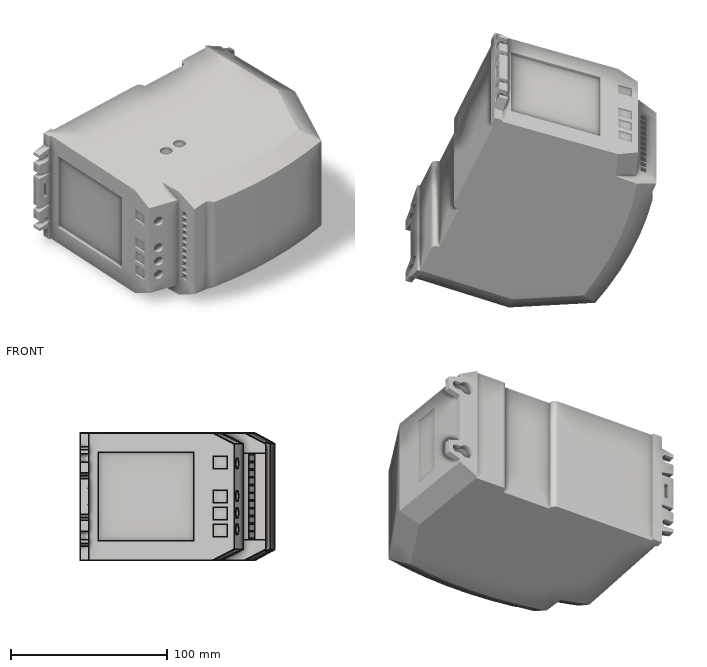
import cadquery as cq
import math

LENGTH = 170.0
DEPTH = 124.8
WIDTH = 81.6
HALF_LENGTH = LENGTH / 2
HALF_WIDTH = WIDTH / 2
MARGIN = 34.0

BEVEL_HEIGHT = 7.1
BEVEL_INSET = 13.3
BEVEL_ANGLE = math.degrees(math.atan2(BEVEL_INSET, BEVEL_HEIGHT))

BACK_X = 1.7
BOTTOM_Y = -75.0
UPPER_CORNER = (4.6, 76.7)
PEAK_CORNER = (68.4, 79.1)
CAP_CORNER_Y = 55.8
CAP_RADIUS = 255.1

STEP_OUTER = (118.9, -54.3)
STEP_INNER = (90.7, -56.6)
WEDGE_TOP = (104.5, -55.1)
WEDGE_FOOT = (98.6, BOTTOM_Y)
NOTCH_TOP = (121.8, -39.6)
NOTCH_FOOT = (STEP_OUTER[0], -43.7)

GROOVE_X = 6.1
GROOVE_TOP = 40.0
GROOVE_BOTTOM = 5.3
GROOVE_TOP_RADIUS = 3.2
GROOVE_BOTTOM_RADIUS = 3.9

UPPER_THICKNESS = 4.3
UPPER_ROOT_Y = 63.6
UPPER_EDGE_Y = 76.5
UPPER_EDGE_HALF = 34.0
LUG_Z = 24.5
LUG_ROOT_HALF = 7.1
LUG_TIP_HALF = 4.5
KEYHOLE_Y = 72.0
KEYHOLE_RADIUS = 4.6
KEYSLOT_END_Y = 79.5
KEYSLOT_RADIUS = 2.7

LOWER_THICKNESS = 5.5
LOWER_ROOT_Y = -69.5
LOWER_EDGE_Y = -76.4
FORK_Z = 24.8
FORK_SLOT_RADIUS = 2.7
FORK_SLOT_END_Y = -76.7
FORK_ROOT = (13.5, 31.8)
FORK_TIP = (15.1, 30.0)
LATCH_HALF = 11.4
LATCH_WINDOW_Y = -79.6
LATCH_WINDOW_LENGTH = 3.0
LATCH_WINDOW_WIDTH = 10.7

PANEL_X = (28.9, 47.6)
PANEL_HALF_WIDTH = 23.8
PANEL_DEPTH = 0.5

DISPLAY_X = (11.5, 72.8)
DISPLAY_HALF_WIDTH = 28.2
DISPLAY_DEPTH = 2.2
BUTTON_X = (85.2, 94.2)
BUTTON_WIDTH = 8.0
BUTTON_DEPTH = 1.0
BUTTON_Z = (21.8, 0.0, -10.9, -21.8)

INDICATOR_X = 100.5
INDICATOR_RADIUS = 3.4
INDICATOR_DEPTH = 3.4
INDICATOR_Z = (21.3, 0.3, -10.4, -21.0)

STRIP_HALF_WIDTH = 27.7
STRIP_DEPTH = 0.2
TERMINAL_COUNT = 11
TERMINAL_PITCH = 5.0
TERMINAL_SIZE = 4.0
TERMINAL_X = 109.9
TERMINAL_DEPTH = 5.1

ROUND_HOLE_X = 67.2
ROUND_HOLE_Y = (-20.0, -31.6)
ROUND_HOLE_RADIUS = 4.0
ROUND_HOLE_DEPTH = 1.7


def line_y(p, q, x):
    """Y at the given X on the line through p and q."""
    return p[1] + (q[1] - p[1]) * (x - p[0]) / (q[0] - p[0])


def line_x(p, q, y):
    """X at the given Y on the line through p and q."""
    return p[0] + (q[0] - p[0]) * (y - p[1]) / (q[1] - p[1])


def cap_x(y):
    """X of the curved +X face at the given Y."""
    return DEPTH - CAP_RADIUS + math.sqrt(CAP_RADIUS**2 - y**2)


def prism(outline):
    """Straight prism over the full width from a closed XY outline."""
    return outline.extrude(HALF_WIDTH, both=True)


def bevelled(outline):
    """Prism over the full width whose +Z and -Z rims are bevelled inwards."""
    straight_half = HALF_WIDTH - BEVEL_HEIGHT
    wire = outline.val()
    core = cq.Workplane("XY").add(wire).toPending().extrude(straight_half, both=True)
    rim = cq.Workplane("XY").add(wire).toPending()
    rim = rim.extrude(BEVEL_HEIGHT, taper=BEVEL_ANGLE).translate((0, 0, straight_half))
    return core.union(rim).union(rim.mirror("XY"))


def box(x_range, y_range, z_center, z_size):
    """Box from X and Y ranges, centred at z_center."""
    return cq.Workplane("XY").box(
        x_range[1] - x_range[0], y_range[1] - y_range[0], z_size, centered=False
    ).translate((x_range[0], y_range[0], z_center - z_size / 2))


def make_housing():
    low_y = BOTTOM_Y - MARGIN
    high_y = HALF_LENGTH + MARGIN
    left_x = -MARGIN
    right_x = DEPTH + MARGIN

    shell = bevelled(
        cq.Workplane("XY")
        .moveTo(left_x, line_y(UPPER_CORNER, PEAK_CORNER, left_x))
        .lineTo(*PEAK_CORNER)
        .lineTo(cap_x(CAP_CORNER_Y), CAP_CORNER_Y)
        .threePointArc((DEPTH, 0), (cap_x(low_y), low_y))
        .lineTo(left_x, low_y)
        .close()
    )

    wedge = bevelled(
        cq.Workplane("XY").polyline([
            (left_x, low_y),
            (line_x(WEDGE_TOP, WEDGE_FOOT, low_y), low_y),
            (line_x(WEDGE_TOP, WEDGE_FOOT, high_y), high_y),
            (left_x, high_y),
        ]).close()
    )
    above_step = prism(
        cq.Workplane("XY").polyline([
            (left_x, line_y(STEP_INNER, STEP_OUTER, left_x)),
            STEP_OUTER,
            NOTCH_FOOT,
            NOTCH_TOP,
            (right_x, NOTCH_TOP[1]),
            (right_x, high_y),
            (left_x, high_y),
        ]).close()
    )

    back = prism(
        cq.Workplane("XY").polyline([
            (BACK_X, BOTTOM_Y),
            (right_x, BOTTOM_Y),
            (right_x, high_y),
            (UPPER_THICKNESS, high_y),
            (UPPER_THICKNESS, UPPER_ROOT_Y),
            (BACK_X, UPPER_ROOT_Y),
            (BACK_X, GROOVE_TOP),
            (GROOVE_X, GROOVE_TOP),
            (GROOVE_X, GROOVE_BOTTOM),
            (BACK_X, GROOVE_BOTTOM),
        ]).close()
    )
    back = back.edges(cq.NearestToPointSelector((BACK_X, GROOVE_TOP, 0))).fillet(GROOVE_TOP_RADIUS)
    back = back.edges(cq.NearestToPointSelector((BACK_X, GROOVE_BOTTOM, 0))).fillet(GROOVE_BOTTOM_RADIUS)

    return shell.intersect(wedge.union(above_step)).intersect(back)


def make_upper_flange():
    plate = cq.Workplane("YZ").polyline([
        (UPPER_ROOT_Y, -HALF_WIDTH),
        (UPPER_EDGE_Y, -UPPER_EDGE_HALF),
        (UPPER_EDGE_Y, UPPER_EDGE_HALF),
        (UPPER_ROOT_Y, HALF_WIDTH),
    ]).close().extrude(UPPER_THICKNESS)
    for side in (-1, 1):
        z = side * LUG_Z
        lug = cq.Workplane("YZ").polyline([
            (UPPER_EDGE_Y, z - LUG_ROOT_HALF),
            (HALF_LENGTH, z - LUG_TIP_HALF),
            (HALF_LENGTH, z + LUG_TIP_HALF),
            (UPPER_EDGE_Y, z + LUG_ROOT_HALF),
        ]).close().extrude(UPPER_THICKNESS)
        plate = plate.union(lug)
    return plate


def make_keyholes():
    lugs = [(0, -LUG_Z), (0, LUG_Z)]
    wide = cq.Workplane("YZ").center(KEYHOLE_Y, 0).pushPoints(lugs)
    end = cq.Workplane("YZ").center(KEYSLOT_END_Y, 0).pushPoints(lugs)
    middle = cq.Workplane("YZ").center((KEYHOLE_Y + KEYSLOT_END_Y) / 2, 0).pushPoints(lugs)
    channel = middle.rect(KEYSLOT_END_Y - KEYHOLE_Y, 2 * KEYSLOT_RADIUS)
    return (
        wide.circle(KEYHOLE_RADIUS).extrude(UPPER_THICKNESS)
        .union(end.circle(KEYSLOT_RADIUS).extrude(UPPER_THICKNESS))
        .union(channel.extrude(UPPER_THICKNESS))
    )


def make_lower_flange():
    thickness = (0, LOWER_THICKNESS)
    plate = box(thickness, (LOWER_EDGE_Y, LOWER_ROOT_Y), 0, WIDTH)
    latch = box(thickness, (-HALF_LENGTH, LOWER_EDGE_Y), 0, 2 * LATCH_HALF)
    window_y = (LATCH_WINDOW_Y - LATCH_WINDOW_LENGTH / 2, LATCH_WINDOW_Y + LATCH_WINDOW_LENGTH / 2)
    latch = latch.cut(box(thickness, window_y, 0, LATCH_WINDOW_WIDTH))

    fork = cq.Workplane("YZ").polyline([
        (LOWER_EDGE_Y, FORK_ROOT[0]),
        (-HALF_LENGTH, FORK_TIP[0]),
        (-HALF_LENGTH, FORK_TIP[1]),
        (LOWER_EDGE_Y, FORK_ROOT[1]),
    ]).close().extrude(LOWER_THICKNESS)
    slot_center_y = FORK_SLOT_END_Y - FORK_SLOT_RADIUS
    slot = box(thickness, (-HALF_LENGTH, slot_center_y), FORK_Z, 2 * FORK_SLOT_RADIUS)
    slot_end = (
        cq.Workplane("YZ").center(slot_center_y, FORK_Z)
        .circle(FORK_SLOT_RADIUS).extrude(LOWER_THICKNESS)
    )
    fork = fork.cut(slot).cut(slot_end)
    return plate.union(latch).union(fork).union(fork.mirror("XY"))


def make_front_pockets():
    display_y = (BOTTOM_Y, BOTTOM_Y + DISPLAY_DEPTH)
    pockets = box(DISPLAY_X, display_y, 0, 2 * DISPLAY_HALF_WIDTH)
    for z in BUTTON_Z:
        pockets = pockets.union(box(BUTTON_X, (BOTTOM_Y, BOTTOM_Y + BUTTON_DEPTH), z, BUTTON_WIDTH))
    return pockets


def make_indicator_holes():
    y = line_y(WEDGE_FOOT, WEDGE_TOP, INDICATOR_X)
    inward = cq.Vector(WEDGE_FOOT[1] - WEDGE_TOP[1], WEDGE_TOP[0] - WEDGE_FOOT[0], 0)
    holes = cq.Workplane("XY")
    for z in INDICATOR_Z:
        hole = cq.Solid.makeCylinder(
            INDICATOR_RADIUS, INDICATOR_DEPTH, cq.Vector(INDICATOR_X, y, z), inward
        )
        holes = holes.add(hole)
    return holes.combine()


def make_terminal_strip():
    inner_x = WEDGE_TOP[0]
    inner_y = line_y(STEP_INNER, STEP_OUTER, inner_x)
    recess = cq.Workplane("XY").polyline([
        (inner_x, inner_y),
        STEP_OUTER,
        (STEP_OUTER[0], STEP_OUTER[1] + STRIP_DEPTH),
        (inner_x, inner_y + STRIP_DEPTH),
    ]).close().extrude(STRIP_HALF_WIDTH, both=True)

    terminal_x = (TERMINAL_X - TERMINAL_SIZE / 2, TERMINAL_X + TERMINAL_SIZE / 2)
    face_y = line_y(STEP_INNER, STEP_OUTER, terminal_x[0])
    for i in range(TERMINAL_COUNT):
        z = (i - (TERMINAL_COUNT - 1) / 2) * TERMINAL_PITCH
        recess = recess.union(box(terminal_x, (face_y, face_y + TERMINAL_DEPTH), z, TERMINAL_SIZE))
    return recess


def make_panel_recess():
    corners = [(x, line_y(UPPER_CORNER, PEAK_CORNER, x)) for x in PANEL_X]
    floor = [(x, y - PANEL_DEPTH) for x, y in reversed(corners)]
    return cq.Workplane("XY").polyline(corners + floor).close().extrude(PANEL_HALF_WIDTH, both=True)


def make_round_holes():
    return (
        cq.Workplane("XY", origin=(0, 0, HALF_WIDTH))
        .pushPoints([(ROUND_HOLE_X, y) for y in ROUND_HOLE_Y])
        .circle(ROUND_HOLE_RADIUS).extrude(-ROUND_HOLE_DEPTH)
    )


result = make_housing().union(make_upper_flange()).union(make_lower_flange())
for cutter in (
    make_keyholes(),
    make_front_pockets(),
    make_indicator_holes(),
    make_terminal_strip(),
    make_panel_recess(),
    make_round_holes(),
):
    result = result.cut(cutter)